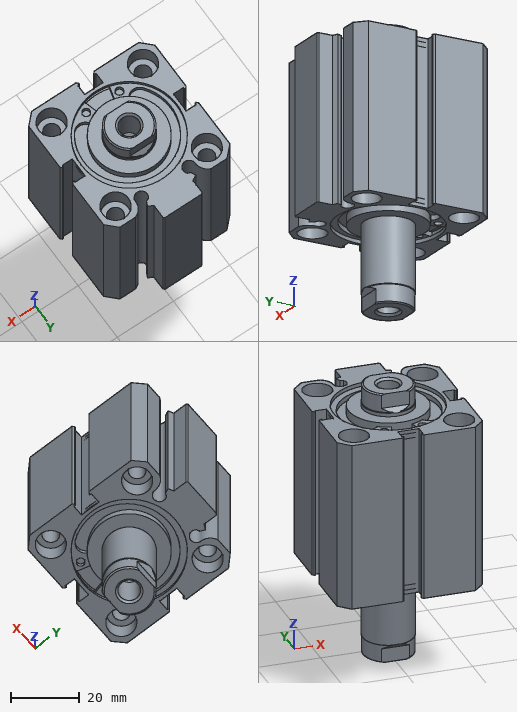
import cadquery as cq
import math


overall_length = 87.0
housing_width = 45.0
housing_height = 53.0
housing_depth = 50.0
half_width = housing_width / 2
corner_chamfer = 3.4

rail_top_y = housing_depth - half_width
rail_half_width = 7.0
rail_chamfer = 0.4
rail_tip = (8.6, 21.7)
rail_tip_foot = (7.9, 20.1)
pocket_x = 8.5
pocket_y = 18.4
pocket_radius = 2.1
pocket_start_angle = 140.0
shoulder_x = 13.5

slot_floor = 18.0
slot_width = 6.5
slot_mouth_width = 5.4
slot_lip = 1.0
slot_mouth_chamfer = 0.5

bolt_offset = 16.3
bolt_hole_radius = 2.6
counterbore_radius = 4.5
counterbore_depth = 7.0

recess_radius = 17.0
groove_inset = 1.2
ring_thickness = 1.6
groove_wall = 0.2
groove_radius = slot_floor - groove_wall
cover_boss_radius = 12.3
cover_plate_thickness = 5.2
cover_plate_top = housing_height - groove_inset - ring_thickness
cover_plate_bottom = cover_plate_top - cover_plate_thickness

ring_opening_radius = 15.5
ring_opening_offset = 0.9
ring_ear_radius = 12.4
ring_ear_angle = 34.5
ring_ear_blend_angle = 52.0
ring_gap_half_angle = 15.0
ring_hole_radius = 1.3
ring_hole_circle = 14.7
ring_hole_angle = 23.7

rod_bottom = -27.0
rod_top = rod_bottom + overall_length
rod_radius = 8.0
rod_tip_radius = 7.8
rod_tip_length = 5.7
rod_end_chamfer_radial = 0.5
rod_end_chamfer_axial = 0.35
flat_half_width = 6.5
flat_length = 4.5
thread_hole_radius = 3.3
thread_mouth_radius = 4.0
thread_depth = 13.05
drill_half_angle = 59.0


def polar(radius, angle):
    """Point at `angle` degrees from the -Y direction, turning towards +X."""
    turn = math.radians(angle)
    return radius * math.sin(turn), -radius * math.cos(turn)


def cylinder(radius, bottom, top):
    return cq.Workplane("XY").workplane(offset=bottom).circle(radius).extrude(top - bottom)


def flipped(body):
    """Copy of a top-end body, mirrored to the other end of the housing."""
    return body.mirror("XY", (0, 0, housing_height / 2))


def both_ends(body):
    return body.union(flipped(body))



def housing_block():
    """Full-height profile with the rail, drawn for +X and mirrored."""
    edge = half_width - corner_chamfer
    start_angle = math.radians(pocket_start_angle)
    pocket_start = (
        pocket_x + pocket_radius * math.cos(start_angle),
        pocket_y + pocket_radius * math.sin(start_angle),
    )
    pocket_bottom = (pocket_x, pocket_y - pocket_radius)
    pocket_end = (pocket_x + pocket_radius, pocket_y)
    return (
        cq.Workplane("XY")
        .moveTo(0, rail_top_y)
        .lineTo(rail_half_width - rail_chamfer, rail_top_y)
        .lineTo(rail_half_width, rail_top_y - rail_chamfer)
        .lineTo(rail_half_width, half_width)
        .lineTo(*rail_tip)
        .lineTo(*rail_tip_foot)
        .lineTo(*pocket_start)
        .threePointArc(pocket_bottom, pocket_end)
        .tangentArcPoint((shoulder_x, half_width), relative=False)
        .lineTo(edge, half_width)
        .lineTo(half_width, edge)
        .lineTo(half_width, -edge)
        .lineTo(edge, -half_width)
        .lineTo(0, -half_width)
        .mirrorY()
        .extrude(housing_height)
    )


def t_slot():
    """Cutter for the slot on the -Y face."""
    lip_y = -half_width + slot_lip
    mouth = slot_mouth_width / 2
    return (
        cq.Workplane("XY")
        .moveTo(0, -slot_floor)
        .lineTo(slot_width / 2, -slot_floor)
        .lineTo(slot_width / 2, lip_y)
        .lineTo(mouth, lip_y)
        .lineTo(mouth, -half_width + slot_mouth_chamfer)
        .lineTo(mouth + slot_mouth_chamfer, -half_width)
        .lineTo(0, -half_width)
        .mirrorY()
        .extrude(housing_height)
    )


def bolt_holes():
    """Cutter for the four corner holes, counterbored at both ends."""
    corners = cq.Workplane("XY").rect(2 * bolt_offset, 2 * bolt_offset, forConstruction=True).vertices()
    bores = corners.circle(bolt_hole_radius).extrude(housing_height)
    counterbores = corners.circle(counterbore_radius).extrude(counterbore_depth)
    return bores.union(both_ends(counterbores))


def end_recess():
    """Cutter for the top cover seat and its snap ring groove."""
    seat = cylinder(recess_radius, cover_plate_bottom, housing_height)
    groove = cylinder(groove_radius, cover_plate_top, cover_plate_top + ring_thickness)
    return seat.union(groove)


def make_housing():
    housing = housing_block()
    for turn in (-90, 0, 90):
        housing = housing.cut(t_slot().rotate((0, 0, 0), (0, 0, 1), turn))
    housing = housing.cut(bolt_holes())
    housing = housing.cut(cylinder(rod_radius, 0, housing_height))
    recess = end_recess()
    return housing.cut(recess).cut(flipped(recess))



def make_cover():
    """Top cover: a plate under the snap ring and a boss flush with the housing."""
    plate = cylinder(recess_radius, cover_plate_bottom, cover_plate_top)
    boss = cylinder(cover_boss_radius, cover_plate_top, housing_height)
    return plate.union(boss).cut(cylinder(rod_radius, cover_plate_bottom, housing_height))



def ring_opening():
    """Off-centre opening that narrows to the two ears, drawn for +X and mirrored."""
    blend_x, blend_y = polar(ring_opening_radius, ring_ear_blend_angle)
    opening = (
        cq.Workplane("XY")
        .workplane(offset=cover_plate_top)
        .moveTo(0, ring_opening_radius - ring_opening_offset)
        .threePointArc(
            (ring_opening_radius, -ring_opening_offset),
            (blend_x, blend_y - ring_opening_offset),
        )
        .tangentArcPoint(polar(ring_ear_radius, ring_ear_angle), relative=False)
        .threePointArc(polar(ring_ear_radius, ring_ear_angle / 2), (0, -ring_ear_radius))
        .close()
        .extrude(ring_thickness)
    )
    return opening.union(opening.mirror("YZ"))


def ring_gap():
    """Wedge between the ears, reaching past the ring."""
    reach = 2 * groove_radius
    return (
        cq.Workplane("XY")
        .workplane(offset=cover_plate_top)
        .polyline([(0, 0), polar(reach, -ring_gap_half_angle), polar(reach, ring_gap_half_angle)])
        .close()
        .extrude(ring_thickness)
    )


def make_snap_ring():
    ring_top = cover_plate_top + ring_thickness
    ring = cylinder(groove_radius, cover_plate_top, ring_top)
    ring = ring.cut(ring_opening()).cut(ring_gap())
    for angle in (-ring_hole_angle, ring_hole_angle):
        x, y = polar(ring_hole_circle, angle)
        ring = ring.cut(cylinder(ring_hole_radius, cover_plate_top, ring_top).translate((x, y, 0)))
    return ring



def rod_half():
    """Upper half of the rod with its stepped tip and tapped hole."""
    middle = (rod_top + rod_bottom) / 2
    shoulder = rod_top - rod_tip_length
    mouth_chamfer = thread_mouth_radius - thread_hole_radius
    hole_bottom = rod_top - thread_depth
    drill_point = hole_bottom - thread_hole_radius / math.tan(math.radians(drill_half_angle))
    return (
        cq.Workplane("XZ")
        .moveTo(0, middle)
        .lineTo(rod_radius, middle)
        .lineTo(rod_radius, shoulder - (rod_radius - rod_tip_radius))
        .lineTo(rod_tip_radius, shoulder)
        .lineTo(rod_tip_radius, rod_top - rod_end_chamfer_axial)
        .lineTo(rod_tip_radius - rod_end_chamfer_radial, rod_top)
        .lineTo(thread_mouth_radius, rod_top)
        .lineTo(thread_hole_radius, rod_top - mouth_chamfer)
        .lineTo(thread_hole_radius, hole_bottom)
        .lineTo(0, drill_point)
        .close()
        .revolve(360, (0, 0, 0), (0, 1, 0))
    )


def wrench_flat():
    """Cutter for the +Y flat, which runs out at 45 degrees."""
    runout = rod_radius - flat_half_width
    return (
        cq.Workplane("YZ")
        .moveTo(flat_half_width, rod_top)
        .lineTo(flat_half_width, rod_top - flat_length)
        .lineTo(rod_radius, rod_top - flat_length - runout)
        .lineTo(rod_radius, rod_top)
        .close()
        .extrude(rod_radius, both=True)
    )


def make_rod():
    flat = wrench_flat()
    half = rod_half().cut(flat).cut(flat.mirror("XZ"))
    return half.union(half.mirror("XY", (0, 0, (rod_top + rod_bottom) / 2)))


housing = make_housing()
rod = make_rod()

covers = []
snap_rings = []
for at_bottom in (False, True):
    cover = make_cover()
    snap_ring = make_snap_ring()
    if at_bottom:
        cover = flipped(cover)
        snap_ring = flipped(snap_ring)
    covers.append(cover.val())
    snap_rings.append(snap_ring.val())

result = cq.Compound.makeCompound([housing.val(), rod.val(), *covers, *snap_rings])